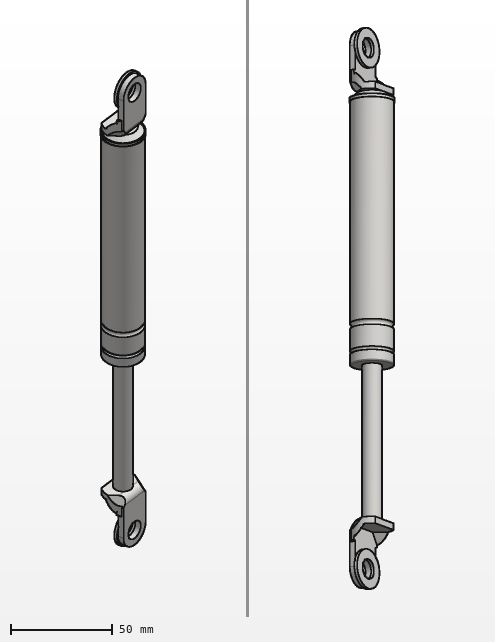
import cadquery as cq

LENGTH = 285.0
BRACKET_HEIGHT = 33.5
HOUSING_BOTTOM = 113.1
HOUSING_TOP = LENGTH - BRACKET_HEIGHT

HOUSING_RADIUS = 10.97
ROD_RADIUS = 5.0
BOTTOM_FILLET = 0.5
CAP_TOP_RADIUS = 7.5
CAP_BASE_RADIUS = 10.5
CAP_HEIGHT = 2.5
LIP_RADIUS = 11.25
LIP_HEIGHT = 1.7
GROOVE_DEPTH = 0.9
GROOVE_HEIGHTS = (119.5, 132.8)
GROOVE_HALF_WIDTHS = (0.9, 1.5)

SHEET = 3.5
EAR_OUTER_X = 7.27
EAR_INNER_X = EAR_OUTER_X - SHEET
BASE_EDGE_X = -7.27
BASE_RADIUS = HOUSING_RADIUS
BEND_RADIUS = 4.0
EAR_RADIUS = 8.98
FLARE_TOP = 11.0
FLARE_HEIGHT = 1.0
GUSSET_THICKNESS = 2.5
GUSSET_ROOT_Y = 6.3
GUSSET_NORMAL = (-2, -3, 2)
OVERSIZE = 57.0

BUSHING_RADIUS = 10.0
BUSHING_THICKNESS = 1.7
EYE_RADIUS = ROD_RADIUS
EYE_HEIGHT = BRACKET_HEIGHT - BUSHING_RADIUS


def make_housing():
    lip_top = HOUSING_TOP - CAP_HEIGHT
    lip_bottom = lip_top - LIP_HEIGHT
    profile = (
        cq.Workplane("XZ")
        .moveTo(0, HOUSING_BOTTOM)
        .lineTo(HOUSING_RADIUS - BOTTOM_FILLET, HOUSING_BOTTOM)
        .radiusArc((HOUSING_RADIUS, HOUSING_BOTTOM + BOTTOM_FILLET), -BOTTOM_FILLET)
    )
    for centre, half_width in zip(GROOVE_HEIGHTS, GROOVE_HALF_WIDTHS):
        profile = profile.lineTo(HOUSING_RADIUS, centre - half_width).threePointArc(
            (HOUSING_RADIUS - GROOVE_DEPTH, centre),
            (HOUSING_RADIUS, centre + half_width),
        )
    return (
        profile.lineTo(HOUSING_RADIUS, lip_bottom)
        .lineTo(LIP_RADIUS, lip_bottom)
        .lineTo(LIP_RADIUS, lip_top)
        .lineTo(CAP_BASE_RADIUS, lip_top)
        .lineTo(CAP_TOP_RADIUS, HOUSING_TOP)
        .lineTo(0, HOUSING_TOP)
        .close()
        .revolve(360, (0, 0), (0, 1))
    )


def make_rod():
    return (
        cq.Workplane("XY")
        .workplane(offset=BRACKET_HEIGHT)
        .circle(ROD_RADIUS)
        .extrude(HOUSING_BOTTOM - BRACKET_HEIGHT)
    )


def eye_cutter():
    """Round bar along X through the eye."""
    return (
        cq.Workplane("YZ")
        .center(0, EYE_HEIGHT)
        .circle(EYE_RADIUS)
        .extrude(OVERSIZE, both=True)
    )


def bracket_envelope():
    """Round base plan, crossed with the outline of the ear and the outside of the bend."""
    ear = cq.Workplane("XY").box(
        EAR_OUTER_X, 2 * EAR_RADIUS, BRACKET_HEIGHT, centered=(False, True, False)
    )
    plan = cq.Workplane("XY").circle(BASE_RADIUS).extrude(BRACKET_HEIGHT).union(ear)
    flare_bottom = FLARE_TOP - FLARE_HEIGHT
    outline = (
        cq.Workplane("YZ")
        .moveTo(-BASE_RADIUS, 0)
        .lineTo(BASE_RADIUS, 0)
        .lineTo(BASE_RADIUS, flare_bottom)
        .lineTo(EAR_RADIUS, FLARE_TOP)
        .lineTo(EAR_RADIUS, EYE_HEIGHT)
        .threePointArc((0, EYE_HEIGHT + EAR_RADIUS), (-EAR_RADIUS, EYE_HEIGHT))
        .lineTo(-EAR_RADIUS, FLARE_TOP)
        .lineTo(-BASE_RADIUS, flare_bottom)
        .close()
        .extrude(OVERSIZE, both=True)
    )
    side = (
        cq.Workplane("XZ")
        .moveTo(BASE_EDGE_X, 0)
        .lineTo(EAR_OUTER_X - BEND_RADIUS, 0)
        .radiusArc((EAR_OUTER_X, BEND_RADIUS), -BEND_RADIUS)
        .lineTo(EAR_OUTER_X, BRACKET_HEIGHT)
        .lineTo(BASE_EDGE_X, BRACKET_HEIGHT)
        .close()
        .extrude(OVERSIZE, both=True)
    )
    return side.intersect(outline).intersect(plan)


def gusset_slab(start, thickness):
    """Slab parallel to the +Y gusset face, beginning a given depth behind that face."""
    face = cq.Plane(
        origin=(EAR_INNER_X, GUSSET_ROOT_Y, SHEET), xDir=(1, 0, 1), normal=GUSSET_NORMAL
    )
    return cq.Workplane(face).workplane(offset=-start).rect(2 * OVERSIZE, 2 * OVERSIZE).extrude(-thickness)


def make_bracket():
    envelope = bracket_envelope()
    inner_space = (
        cq.Workplane("XY")
        .box(OVERSIZE, OVERSIZE, OVERSIZE, centered=(False, True, False))
        .translate((EAR_INNER_X - OVERSIZE, 0, SHEET))
    )
    sheet = envelope.cut(inner_space)
    bend_zone = cq.Workplane("XY").rect(OVERSIZE, OVERSIZE).extrude(FLARE_TOP)
    gusset = envelope.intersect(gusset_slab(0, GUSSET_THICKNESS)).intersect(bend_zone)
    pressed_out = gusset_slab(GUSSET_THICKNESS, OVERSIZE).intersect(bend_zone)
    sheet = sheet.cut(pressed_out).cut(pressed_out.mirror("XZ"))
    sheet = sheet.union(gusset).union(gusset.mirror("XZ"))
    return sheet.cut(eye_cutter())


def make_bushing():
    return (
        cq.Workplane("YZ")
        .workplane(offset=EAR_INNER_X - BUSHING_THICKNESS)
        .center(0, EYE_HEIGHT)
        .circle(BUSHING_RADIUS)
        .extrude(BUSHING_THICKNESS)
        .cut(eye_cutter())
    )


def at_both_ends(part):
    """One copy on top of the housing and a mirrored copy under the rod."""
    upper = part.translate((0, 0, HOUSING_TOP))
    lower = part.mirror("XY").translate((0, 0, BRACKET_HEIGHT))
    return [*upper.solids().vals(), *lower.solids().vals()]


housing = make_housing()
rod = make_rod()

end_fittings = []
for fitting in (make_bracket(), make_bushing()):
    end_fittings.extend(at_both_ends(fitting))

result = cq.Compound.makeCompound([housing.val(), rod.val(), *end_fittings])